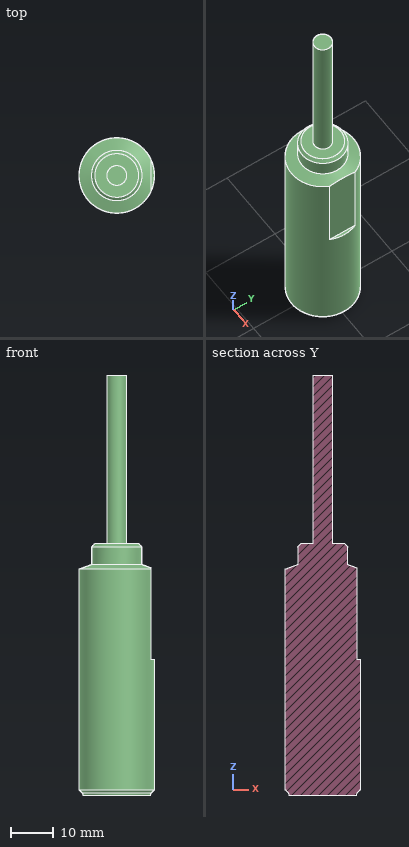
import cadquery as cq

total_height = 100.0
collar_top = 60.0
body_top = 55.0

body_radius = 18.0 / 2
collar_radius = 12.0 / 2
cable_radius = 4.7 / 2
tip_radius = 16.4 / 2

bevel_top = 1.4
tip_height = 0.6
tip_taper = 0.2
shoulder_drop = 1.1
collar_chamfer = 0.8

flat_offset = 8.2
flat_bottom = 32.4


def make_body():
    """Cylinder with a two-step bevelled bottom edge and a shallow conical shoulder."""
    profile = [
        (0, 0),
        (tip_radius - tip_taper, 0),
        (tip_radius, tip_height),
        (body_radius, bevel_top),
        (body_radius, body_top - shoulder_drop),
        (collar_radius, body_top),
        (0, body_top),
    ]
    return cq.Workplane("XZ").polyline(profile).close().revolve(360, (0, 0), (0, 1))


def make_flat_cutter():
    """Block that removes everything outside the flat, up to the body top."""
    return (
        cq.Workplane("XY", origin=(flat_offset, 0, flat_bottom))
        .box(
            body_radius - flat_offset,
            2 * body_radius,
            body_top - flat_bottom,
            centered=(False, True, False),
        )
    )


def make_collar():
    collar = cq.Workplane("XY", origin=(0, 0, body_top)).circle(collar_radius)
    return collar.extrude(collar_top - body_top).faces(">Z").edges().chamfer(collar_chamfer)


def make_cable():
    cable = cq.Workplane("XY", origin=(0, 0, collar_top)).circle(cable_radius)
    return cable.extrude(total_height - collar_top)


result = make_body().cut(make_flat_cutter()).union(make_collar()).union(make_cable())